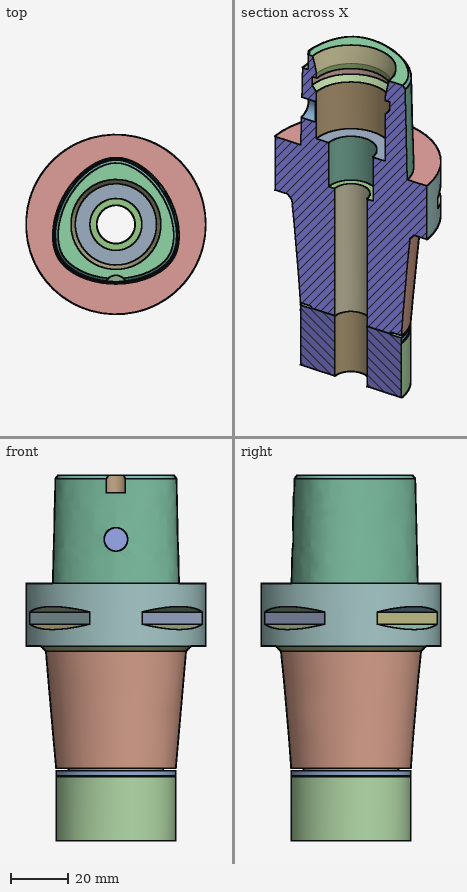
import cadquery as cq
import math

TOTAL_HEIGHT = 128.0
FLANGE_TOP = 90.1
FLANGE_BOTTOM = 68.1
NECK_TOP = 66.3
NECK_BOTTOM = 25.3
NUT_TOP = 24.6

FLANGE_RADIUS = 31.5
FLANGE_CONE_RADIUS = 26.2
NECK_TOP_RADIUS = 24.6
NECK_BOTTOM_RADIUS = 21.0
STUB_RADIUS = 16.6

SHANK_BASE_RADIUS = 22.1
SHANK_TOP_RADIUS = 21.2
SHANK_ECCENTRICITY = 2.5
SHANK_CHAMFER_HEIGHT = 1.3
SHANK_CHAMFER_WIDTH = 1.0
OUTLINE_POINTS = 48

BORE_MOUTH_RADIUS = 15.7
BORE_RADIUS = 14.2
BORE_GROOVE_RADIUS = 16.0
BORE_TAPER_DEPTH = 6.5
BORE_LIP_DEPTH = 8.7
BORE_GROOVE_DEPTH = 12.0
BORE_CONE_SLOPE = 1.2
BORE_DEPTH = 33.3
COUNTERBORE_RADIUS = 9.1
COUNTERBORE_DEPTH = 51.2
THROUGH_RADIUS = 6.7

NOTCH_RADIUS = 3.7
NOTCH_CENTER_Y = -21.5
NOTCH_DEPTH = 6.1
SIDE_HOLE_RADIUS = 4.1
SIDE_HOLE_Z = 105.5
SIDE_HOLE_FLOOR_Y = -14.8

SLOT_COUNT = 4
SLOT_FLOOR_DISTANCE = 27.8
SLOT_Z = 78.0
SLOT_FLOOR_HEIGHT = 4.2
SLOT_MOUTH_HEIGHT = 8.0

NUT_RADIUS = 21.0
NUT_GROOVE_Z = 22.5
NUT_GROOVE_WIDTH = 0.4
NUT_GROOVE_DEPTH = 0.1


def revolve_profile(points):
    """Revolve a closed (radius, z) profile around the Z axis."""
    return cq.Workplane("XZ").polyline(points).close().revolve(360, (0, 0), (0, 1))


def polygon_wire(mean_radius, z):
    """Three-lobed curve of constant width, with one lobe toward +Y."""
    e = SHANK_ECCENTRICITY

    def point(angle):
        across = mean_radius * math.sin(angle) + e * math.sin(2 * angle) + e / 2 * math.sin(4 * angle)
        along = mean_radius * math.cos(angle) - e * math.cos(2 * angle) + e / 2 * math.cos(4 * angle)
        return cq.Vector(across, -along, z)

    points = [point(2 * math.pi * i / OUTLINE_POINTS) for i in range(OUTLINE_POINTS)]
    return cq.Wire.assembleEdges([cq.Edge.makeSpline(points, periodic=True)])


def make_shank():
    chamfer_z = TOTAL_HEIGHT - SHANK_CHAMFER_HEIGHT
    base = polygon_wire(SHANK_BASE_RADIUS, FLANGE_TOP)
    shoulder = polygon_wire(SHANK_TOP_RADIUS, chamfer_z)
    face = polygon_wire(SHANK_TOP_RADIUS - SHANK_CHAMFER_WIDTH, TOTAL_HEIGHT)
    taper = cq.Workplane(cq.Solid.makeLoft([base, shoulder], True))
    return taper.union(cq.Workplane(cq.Solid.makeLoft([shoulder, face], True)))


def make_flange_and_neck():
    return revolve_profile([
        (0, NUT_TOP),
        (STUB_RADIUS, NUT_TOP),
        (STUB_RADIUS, NECK_BOTTOM),
        (NECK_BOTTOM_RADIUS, NECK_BOTTOM),
        (NECK_TOP_RADIUS, NECK_TOP),
        (FLANGE_CONE_RADIUS, FLANGE_BOTTOM),
        (FLANGE_RADIUS, FLANGE_BOTTOM),
        (FLANGE_RADIUS, FLANGE_TOP),
        (0, FLANGE_TOP),
    ])


def bore_cutter():
    """Stepped bore, undercut behind a lip, that runs through the holder."""
    groove_end = BORE_GROOVE_DEPTH + BORE_CONE_SLOPE * (BORE_GROOVE_RADIUS - BORE_RADIUS)
    steps = [
        (BORE_MOUTH_RADIUS, 0),
        (BORE_RADIUS, BORE_TAPER_DEPTH),
        (BORE_RADIUS, BORE_LIP_DEPTH),
        (BORE_GROOVE_RADIUS, BORE_LIP_DEPTH),
        (BORE_GROOVE_RADIUS, BORE_GROOVE_DEPTH),
        (BORE_RADIUS, groove_end),
        (BORE_RADIUS, BORE_DEPTH),
        (COUNTERBORE_RADIUS, BORE_DEPTH),
        (COUNTERBORE_RADIUS, COUNTERBORE_DEPTH),
        (THROUGH_RADIUS, COUNTERBORE_DEPTH),
        (THROUGH_RADIUS, TOTAL_HEIGHT - NUT_TOP),
    ]
    profile = [(radius, TOTAL_HEIGHT - depth) for radius, depth in steps]
    return revolve_profile([(0, TOTAL_HEIGHT), *profile, (0, NUT_TOP)])


def notch_cutter():
    return (
        cq.Workplane("XY", origin=(0, NOTCH_CENTER_Y, TOTAL_HEIGHT - NOTCH_DEPTH))
        .circle(NOTCH_RADIUS)
        .extrude(NOTCH_DEPTH)
    )


def side_hole_cutter():
    return (
        cq.Workplane("XZ", origin=(0, SIDE_HOLE_FLOOR_Y, SIDE_HOLE_Z))
        .circle(SIDE_HOLE_RADIUS)
        .extrude(FLANGE_RADIUS + SIDE_HOLE_FLOOR_Y)
    )


def slot_cutter(angle):
    """Straight slot with flaring sides, cut across the rim of the flange."""
    floor_half = SLOT_FLOOR_HEIGHT / 2
    mouth_half = SLOT_MOUTH_HEIGHT / 2
    return (
        cq.Workplane("XZ")
        .polyline([
            (SLOT_FLOOR_DISTANCE, SLOT_Z - floor_half),
            (FLANGE_RADIUS, SLOT_Z - mouth_half),
            (FLANGE_RADIUS, SLOT_Z + mouth_half),
            (SLOT_FLOOR_DISTANCE, SLOT_Z + floor_half),
        ])
        .close()
        .extrude(FLANGE_RADIUS, both=True)
        .rotate((0, 0, 0), (0, 0, 1), angle)
    )


def make_holder():
    holder = make_flange_and_neck().union(make_shank())
    holder = holder.cut(bore_cutter()).cut(notch_cutter()).cut(side_hole_cutter())
    for i in range(SLOT_COUNT):
        holder = holder.cut(slot_cutter(360 / SLOT_COUNT * (i + 0.5)))
    return holder


def make_nut():
    """Plain round nut with a fine groove near its upper end."""
    groove_radius = NUT_RADIUS - NUT_GROOVE_DEPTH
    groove_bottom = NUT_GROOVE_Z - NUT_GROOVE_WIDTH / 2
    groove_top = NUT_GROOVE_Z + NUT_GROOVE_WIDTH / 2
    return revolve_profile([
        (THROUGH_RADIUS, 0),
        (NUT_RADIUS, 0),
        (NUT_RADIUS, groove_bottom),
        (groove_radius, groove_bottom),
        (groove_radius, groove_top),
        (NUT_RADIUS, groove_top),
        (NUT_RADIUS, NUT_TOP),
        (THROUGH_RADIUS, NUT_TOP),
    ])


holder = make_holder()
nut = make_nut()
result = cq.Compound.makeCompound([holder.val(), nut.val()])